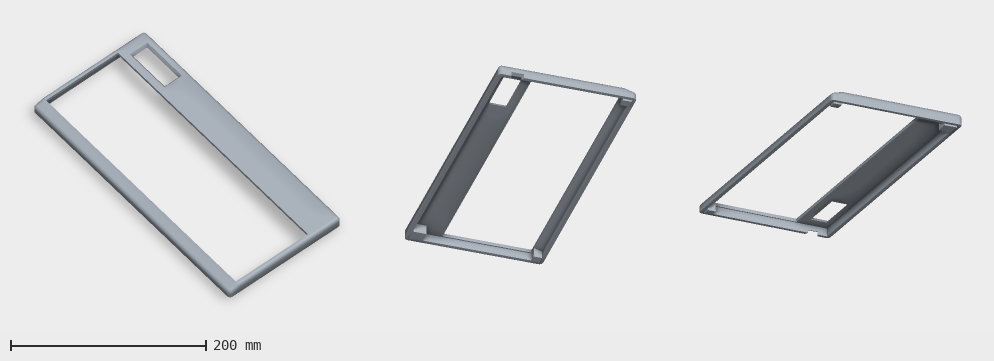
import cadquery as cq
import math

length = 315.2
width = 148.5
total_height = 14.0
foot_drop = 1.5
body_height = total_height - foot_drop

edge_radius = 4.0
rail_width = 5.7
wall_thickness = 4.0
plate_thickness = 3.5

front_bar_width = 13.0
front_slope_drop = 3.8
back_plate_width = 39.7

window_length = 55.0
window_width = 23.3
window_left = 14.8
window_back_gap = 8.2
window_taper = 2.5

notch_back_gap = 13.2
notch_width = 14.0
notch_height = 4.7
notch_flare = 1.5

foot_side_gap = 4.7
foot_end_gap = 4.5
foot_size = 9.0
large_foot_size = 14.0


def side_profile(inset, roof_drop):
    """YZ outline of the case, moved in by the wall inset and down by the roof thickness."""
    slope = front_slope_drop / front_bar_width
    slope_roof_drop = roof_drop * math.hypot(1, slope)
    roof = body_height - roof_drop
    bend = front_bar_width - (slope_roof_drop - roof_drop) / slope
    front_roof = roof - slope * (bend - inset)
    return [
        (inset, 0),
        (width - inset, 0),
        (width - inset, roof),
        (bend, roof),
        (inset, front_roof),
    ]


def extruded_profile(inset, roof_drop):
    profile = cq.Workplane("YZ", origin=(inset, 0, 0)).polyline(side_profile(inset, roof_drop))
    return profile.close().extrude(length - 2 * inset)


def box(x, y, z, dx, dy, dz):
    return cq.Workplane("XY").box(dx, dy, dz, centered=False).translate((x, y, z))


def outer_body():
    """Block with every edge rounded but the base edges and the bend in the top."""
    block = extruded_profile(0, 0)
    bend_middle = cq.Vector(length / 2, front_bar_width, body_height)
    bend = cq.selectors.NearestToPointSelector(bend_middle.toTuple())
    upper_edges = block.edges("not <Z")
    return upper_edges.edges(cq.selectors.InverseSelector(bend)).fillet(edge_radius)


def key_opening():
    opening_width = width - front_bar_width - back_plate_width
    return box(rail_width, front_bar_width, 0, length - 2 * rail_width, opening_width, body_height)


def display_window():
    slant = math.degrees(math.atan2(window_taper, plate_thickness))
    center_x = window_left + window_length / 2
    center_y = width - window_back_gap - window_width / 2
    top = cq.Workplane("XY", origin=(center_x, center_y, body_height))
    return top.rect(window_length, window_width).extrude(-plate_thickness, taper=slant)


def cable_notch():
    center_y = width - notch_back_gap - notch_width / 2
    slant = math.degrees(math.atan2(notch_flare, wall_thickness))
    mouth = cq.Workplane("YZ", origin=(0, center_y, 0)).rect(notch_width, 2 * notch_height)
    return mouth.extrude(wall_thickness, taper=slant)


def feet():
    """Posts from below the base up to the underside of the roof."""
    right = length - foot_side_gap
    back = width - foot_end_gap
    spots = [
        (foot_side_gap, foot_end_gap, foot_size, foot_size),
        (right - foot_size, foot_end_gap, foot_size, foot_size),
        (right - large_foot_size, back - large_foot_size, large_foot_size, large_foot_size),
    ]
    posts = cq.Workplane("XY")
    for x, y, dx, dy in spots:
        posts = posts.union(box(x, y, -foot_drop, dx, dy, total_height))
    return posts


outer = outer_body()
posts = feet()
below_base = box(0, 0, -foot_drop, length, width, foot_drop)
case = outer.cut(extruded_profile(wall_thickness, plate_thickness))
case = case.cut(cable_notch())
case = case.union(posts.intersect(outer.union(below_base)))
result = case.cut(key_opening()).cut(display_window())